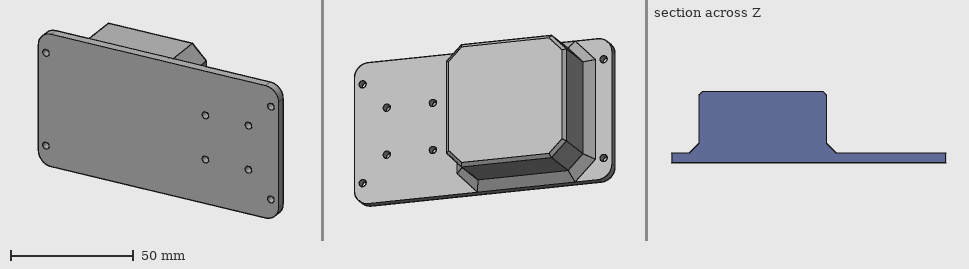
import cadquery as cq
import math

plate_length = 111.7
plate_height = 60.0
plate_thickness = 4.0
plate_corner_radius = 6.0
total_depth = 29.0

boss_width = 52.0
boss_corner_cut = 6.5
boss_center_x = -18.8
boss_end_chamfer = 1.5

flare = (plate_height - boss_width) / 2
foot_corner_cut = boss_corner_cut + flare * (1 - math.tan(math.radians(22.5)))

hole_diameter = 3.0
corner_hole_spacing_x = 104.5
corner_hole_spacing_z = 42.0
square_hole_spacing = 20.0
square_hole_center_x = 31.8

front_y = -total_depth / 2
plate_back_y = front_y + plate_thickness


def plane_at(y, x=0.0):
    """XZ sketch plane whose normal points to +Y; its local x runs along +X."""
    return cq.Workplane(cq.Plane(origin=(x, y, 0), xDir=(1, 0, 0), normal=(0, 1, 0)))


def cut_corner_square(y, width, corner_cut, depth):
    """Square prism along Y with its four long edges cut at 45 degrees."""
    prism = plane_at(y, boss_center_x).rect(width, width).extrude(depth)
    return prism.edges("|Y").chamfer(corner_cut)


def make_plate():
    plate = plane_at(front_y).rect(plate_length, plate_height).extrude(plate_thickness)
    return plate.edges("|Y").fillet(plate_corner_radius)


def make_boss():
    boss_depth = total_depth - plate_thickness
    boss = cut_corner_square(plate_back_y, boss_width, boss_corner_cut, boss_depth)
    return boss.faces(">Y").chamfer(boss_end_chamfer)


def make_foot():
    half = plate_height / 2
    inner = half - foot_corner_cut
    outline = [
        (inner, half), (half, inner), (half, -inner), (inner, -half),
        (-inner, -half), (-half, -inner), (-half, inner), (-inner, half),
    ]
    return plane_at(plate_back_y, boss_center_x).polyline(outline).close().extrude(flare, taper=45)


def make_holes():
    corner_holes = plane_at(front_y).rarray(corner_hole_spacing_x, corner_hole_spacing_z, 2, 2)
    square_holes = plane_at(front_y, square_hole_center_x).rarray(
        square_hole_spacing, square_hole_spacing, 2, 2
    )
    holes = corner_holes.circle(hole_diameter / 2).extrude(plate_thickness)
    return holes.union(square_holes.circle(hole_diameter / 2).extrude(plate_thickness))


result = make_plate().union(make_foot()).union(make_boss()).cut(make_holes())